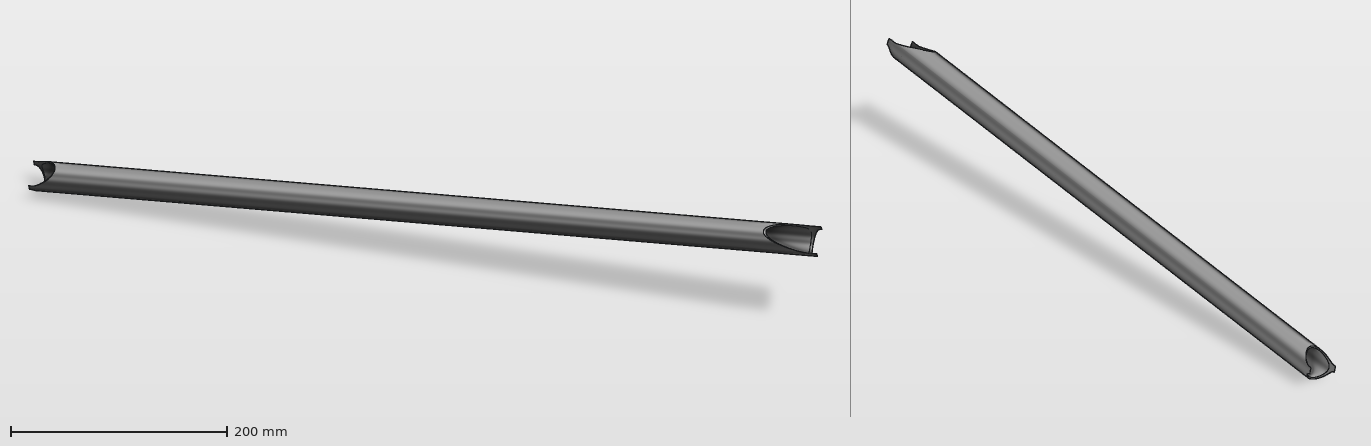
import cadquery as cq

outer_diameter = 28.0
wall = 1.5
tube_length = 743.5
heading = 10.0
climb = 4.3

notch_diameter = 27.0
start_inset = 2.0
start_lean = 25.0
start_roll = 10.0
end_inset = 4.5
end_lean = -57.0
end_roll = 20.0

cutter_height = 10 * outer_diameter
cutter_overrun = 4 * outer_diameter


def make_tube():
    """Straight hollow tube along X, centred on the origin."""
    outer_radius = outer_diameter / 2
    return (
        cq.Workplane("YZ")
        .circle(outer_radius)
        .circle(outer_radius - wall)
        .extrude(tube_length / 2, both=True)
    )


def make_notch(position, lean, roll, outward):
    """U-shaped cutter along a leaning axis, open past the end; outward is +1 or -1 along X."""
    rounded_bottom = cq.Workplane("XY").circle(notch_diameter / 2).extrude(cutter_height / 2, both=True)
    open_side = (
        cq.Workplane("XY")
        .center(outward * cutter_overrun / 2, 0)
        .rect(cutter_overrun, notch_diameter)
        .extrude(cutter_height / 2, both=True)
    )
    return (
        rounded_bottom.union(open_side)
        .rotate((0, 0, 0), (0, 1, 0), lean)
        .rotate((0, 0, 0), (1, 0, 0), roll)
        .translate((position, 0, 0))
    )


start_notch = make_notch(start_inset - tube_length / 2, start_lean, start_roll, -1)
end_notch = make_notch(tube_length / 2 - end_inset, end_lean, end_roll, 1)
notched_tube = make_tube().cut(start_notch).cut(end_notch)

result = (
    notched_tube
    .rotate((0, 0, 0), (0, 1, 0), -climb)
    .rotate((0, 0, 0), (0, 0, 1), heading)
)